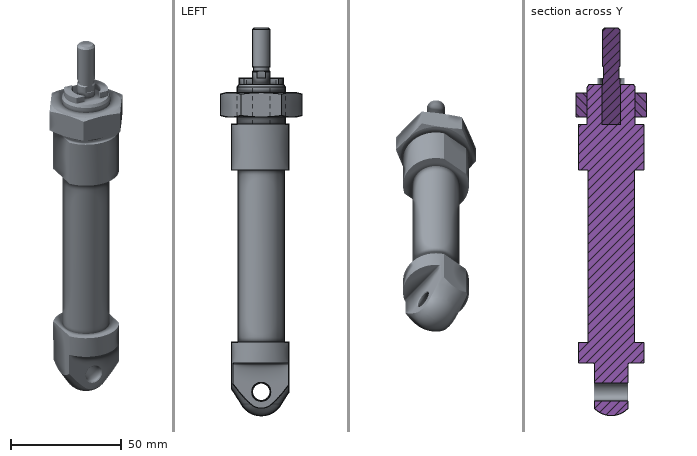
import cadquery as cq
import math

EYE_HOLE_Z = 11.0
EYE_SHOULDER_Z = 24.0
REAR_CAP_TOP_Z = 33.5
FRONT_CAP_BOTTOM_Z = 111.4
FRONT_CAP_TOP_Z = 132.4
NUT_BOTTOM_Z = 135.5
NUT_TOP_Z = 146.6
COLLAR_TOP_Z = 150.3
LUG_TOP_Z = 153.1
ROD_SHOULDER_Z = 156.5
ROD_THREAD_Z = 158.2
TOTAL_LENGTH = 176.0

CAP_DIAMETER = 30.0
CAP_FRONT_FLAT_Y = -12.5
CAP_BACK_FLAT_Y = 13.5
TUBE_DIAMETER = 21.3
COLLAR_DIAMETER = 22.0
COLLAR_FACE_DIAMETER = 20.5
COLLAR_CHAMFER_HEIGHT = 1.2

EYE_WIDTH = 15.5
EYE_HOLE_DIAMETER = 8.0
EYE_COUNTERSINK_DIAMETER = 8.6
EYE_FILLET = 0.7
EYE_CONE_TOP_Z = 14.5
EYE_NOSE_Z = 5.5
EYE_NOSE_RADIUS = 9.2

LUG_OUTER_DIAMETER = 20.0
LUG_INNER_DIAMETER = 13.2
LUG_WIDTH = 12.3
LUG_SLOT_WIDTH = 8.0

NUT_FLATS = 32.0
NUT_CHAMFER_DIAMETER = 31.7
NUT_CHAMFER_ANGLE = 15.0

ROD_DIAMETER = 8.1
ROD_GROOVE_DIAMETER = 7.2
ROD_FLATS = 7.0
ROD_TIP_DIAMETER = 6.3


def cylinder(diameter, bottom, top):
    return cq.Workplane("XY").workplane(offset=bottom).circle(diameter / 2).extrude(top - bottom)


def box(x_size, y_size, bottom, top):
    return cq.Workplane("XY").workplane(offset=bottom).rect(x_size, y_size).extrude(top - bottom)


def make_cap(bottom, top):
    """Round cap with two unequal flats, the deeper one facing -Y."""
    flats_middle_y = (CAP_FRONT_FLAT_Y + CAP_BACK_FLAT_Y) / 2
    flats = box(CAP_DIAMETER, CAP_BACK_FLAT_Y - CAP_FRONT_FLAT_Y, bottom, top)
    return cylinder(CAP_DIAMETER, bottom, top).intersect(flats.translate((0, flats_middle_y, 0)))


def make_eye_hole():
    """Solid of the cross hole through the eye, countersunk at both ends."""
    rim_radius = EYE_COUNTERSINK_DIAMETER / 2
    hole_radius = EYE_HOLE_DIAMETER / 2
    face_x = EYE_WIDTH / 2
    countersink_x = face_x - (rim_radius - hole_radius)
    outline = [
        (-face_x, 0),
        (-face_x, rim_radius),
        (-countersink_x, hole_radius),
        (countersink_x, hole_radius),
        (face_x, rim_radius),
        (face_x, 0),
    ]
    hole = cq.Workplane("XZ").polyline(outline).close().revolve(360, (0, 0, 0), (1, 0, 0))
    return hole.translate((0, 0, EYE_HOLE_Z))


def make_rear_cap():
    """Rear cap that narrows to an eye with a tapered, rounded nose."""
    cap = make_cap(0, REAR_CAP_TOP_Z)
    side_depth = (CAP_DIAMETER - EYE_WIDTH) / 2
    for side in (-1, 1):
        side_cut = box(side_depth, CAP_DIAMETER, 0, EYE_SHOULDER_Z)
        side_cut = side_cut.edges(">Z and |Y").edges("<X" if side > 0 else ">X").fillet(EYE_FILLET)
        cap = cap.cut(side_cut.translate((side * (EYE_WIDTH + side_depth) / 2, 0, 0)))

    nose_ball_radius = (EYE_NOSE_RADIUS**2 + EYE_NOSE_Z**2) / (2 * EYE_NOSE_Z)
    half_angle = math.asin(EYE_NOSE_RADIUS / nose_ball_radius) / 2
    arc_middle = (
        nose_ball_radius * math.sin(half_angle),
        nose_ball_radius * (1 - math.cos(half_angle)),
    )
    nose = (
        cq.Workplane("XZ")
        .moveTo(0, 0)
        .threePointArc(arc_middle, (EYE_NOSE_RADIUS, EYE_NOSE_Z))
        .lineTo(CAP_DIAMETER / 2, EYE_CONE_TOP_Z)
        .lineTo(CAP_DIAMETER / 2, REAR_CAP_TOP_Z)
        .lineTo(0, REAR_CAP_TOP_Z)
        .close()
        .revolve(360, (0, 0, 0), (0, 1, 0))
    )
    return cap.intersect(nose).cut(make_eye_hole())


def make_lugs():
    """Ring trimmed to two opposite blocks, one on each side of the rod along Y."""
    ring = cylinder(LUG_OUTER_DIAMETER, COLLAR_TOP_Z, LUG_TOP_Z)
    ring = ring.cut(cylinder(LUG_INNER_DIAMETER, COLLAR_TOP_Z, LUG_TOP_Z))
    ring = ring.cut(box(LUG_OUTER_DIAMETER, LUG_SLOT_WIDTH, COLLAR_TOP_Z, LUG_TOP_Z))
    return ring.intersect(box(LUG_WIDTH, LUG_OUTER_DIAMETER, COLLAR_TOP_Z, LUG_TOP_Z))


def make_housing():
    """Caps, tube, collar and lugs, with a blind bore for the rod."""
    collar_inset = (COLLAR_DIAMETER - COLLAR_FACE_DIAMETER) / 2
    collar = cylinder(COLLAR_DIAMETER, FRONT_CAP_TOP_Z, COLLAR_TOP_Z)
    collar = collar.faces(">Z").chamfer(COLLAR_CHAMFER_HEIGHT, collar_inset)
    return (
        make_rear_cap()
        .union(cylinder(TUBE_DIAMETER, REAR_CAP_TOP_Z, FRONT_CAP_BOTTOM_Z))
        .union(make_cap(FRONT_CAP_BOTTOM_Z, FRONT_CAP_TOP_Z))
        .union(collar)
        .union(make_lugs())
        .cut(cylinder(ROD_DIAMETER, FRONT_CAP_TOP_Z, COLLAR_TOP_Z))
    )


def make_nut():
    """Hexagon nut with corners along Y, chamfered on both faces."""
    corner_diameter = NUT_FLATS / math.cos(math.radians(30))
    height = NUT_TOP_Z - NUT_BOTTOM_Z
    hexagon = cq.Workplane("XY").polygon(6, corner_diameter).extrude(height)
    hexagon = hexagon.rotate((0, 0, 0), (0, 0, 1), 30)
    chamfer_width = (corner_diameter - NUT_CHAMFER_DIAMETER) / 2
    chamfer_drop = chamfer_width * math.tan(math.radians(NUT_CHAMFER_ANGLE))
    envelope = (
        cq.Workplane("XY")
        .circle(corner_diameter / 2)
        .extrude(height)
        .faces("<Z or >Z")
        .chamfer(chamfer_drop, chamfer_width)
    )
    nut = hexagon.intersect(envelope).translate((0, 0, NUT_BOTTOM_Z))
    return nut.cut(cylinder(COLLAR_DIAMETER, NUT_BOTTOM_Z, NUT_TOP_Z))


def make_rod():
    """Rod with wrench flats on -X and +X, a thread relief groove and a threaded end."""
    shank = cylinder(ROD_DIAMETER, FRONT_CAP_TOP_Z, ROD_SHOULDER_Z)
    shank = shank.faces(">Z").chamfer((ROD_DIAMETER - ROD_GROOVE_DIAMETER) / 2)
    flats = box(ROD_FLATS, ROD_DIAMETER, LUG_TOP_Z, ROD_SHOULDER_Z)
    flats = flats.union(cylinder(ROD_DIAMETER, FRONT_CAP_TOP_Z, LUG_TOP_Z))
    groove = cylinder(ROD_GROOVE_DIAMETER, ROD_SHOULDER_Z, ROD_THREAD_Z)
    tip_chamfer = (ROD_DIAMETER - ROD_TIP_DIAMETER) / 2
    thread = cylinder(ROD_DIAMETER, ROD_THREAD_Z, TOTAL_LENGTH).faces(">Z").chamfer(tip_chamfer)
    return shank.intersect(flats).union(groove).union(thread)


housing = make_housing()
nut = make_nut()
rod = make_rod()

result = cq.Compound.makeCompound([housing.val(), nut.val(), rod.val()])